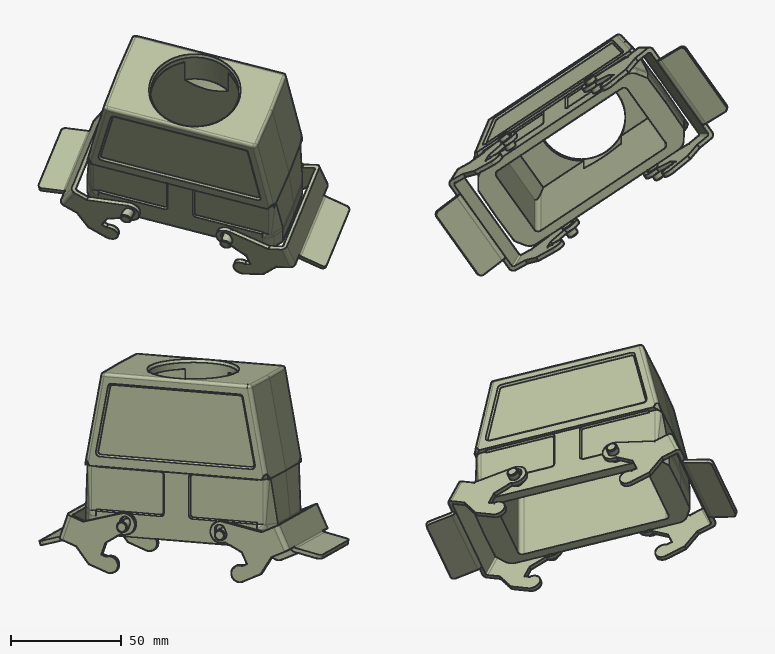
import cadquery as cq
import math


hood_height = 75.2
shoulder_z = 31.7
upper_half_width = 22.4
upper_half_length_top = 36.7
upper_half_length_bottom = 44.8
end_peak = 0.4
corner_fillet = 1.8
top_fillet = 1.5
shoulder_relief_x = 2.7
shoulder_relief_y = 4.4
shoulder_relief_height = 3.7
overcut = 0.01
corner_search = 3.0

panel_half_width = 20.4
lower_half_width = 21.2
lower_half_length_top = 44.8
lower_half_length_bottom = 46.8
band_height = 8.5
frame_half_length = 39.0

wall_start_x = 41.6
wall_top_shoulder = (44.2, 18.8)
wall_top_end_y = 17.8
wall_bottom_shoulder = (42.8, 20.0)
wall_bottom_end_y = 14.4
band_shoulder = (43.6, 18.8)

panel_bottom_z = 10.7
panel_inner_x = 6.0
panel_corner_radius = 1.8
panel_wall_taper = 40
window_bottom_z = 36.3
window_top_z = 70.6
window_half_length_bottom = 39.0
window_half_length_top = 32.5
window_depth = 1.0
window_corner_radius = 2.0

bore_diameter = 40.0
bore_rim_diameter = 41.6
bore_rim_depth = 1.4
bore_floor_z = 58.0
cavity_half_width = 17.1
cavity_roof_z = 70.8
cavity_break_z = 52.0
cavity_half_length_roof = 32.5
cavity_half_length = 36.0
cavity_corner_radius = 2.0

pin_diameter = 5.0
pin_x = 23.7
pin_z = 5.9
pin_tip_y = 28.6
pin_tip_chamfer = 0.4

lever_half_width = 25.65
lever_offset_y = 0.35
sheet = 2.0
sheet_bend_radius = 2.1
sheet_inner_radius = 0.8
slot_travel = 2.0
eye_radius = 5.0
arm_notch_x = 18.6
arm_top_z = -6.1
arm_bottom_z = -18.3
cross_plate_x = 27.2
arm_bottom_x = 18.0
hook_x = 0.2
hook_radius = 3.9
hook_back_x = 9.7
hook_bottom_z = -23.57
throat_x = 5.6
throat_bottom_z = -16.9
throat_top_z = -11.1
left_tilt = 25.3
right_tilt = 19.5

tab_half_width = 18.15
tab_bend_angle = 53.5
tab_bend_radius = 1.2
tab_bend_z = -18.0
tab_length = 12.54
tab_corner_radius = 2.0


def peaked_outline(half_length, half_width, peak, z):
    """Six-sided wire whose two ends bulge by `peak` at Y = 0."""
    corner_x = half_length - peak
    points = [
        (half_length, 0),
        (corner_x, half_width),
        (-corner_x, half_width),
        (-half_length, 0),
        (-corner_x, -half_width),
        (corner_x, -half_width),
    ]
    return cq.Workplane("XY", origin=(0, 0, z)).polyline(points).close().val()


def rounding_midpoint(start, shoulder):
    """Midpoint of the arc that leaves `start` along X and ends at `shoulder`."""
    run = shoulder[0] - start[0]
    drop = start[1] - shoulder[1]
    radius = (run**2 + drop**2) / (2 * drop)
    half_turn = math.atan2(drop, run)
    return (
        start[0] + radius * math.sin(half_turn),
        start[1] - radius * (1 - math.cos(half_turn)),
    )


def rounded_outline(half_length, start, shoulder, end_y, z):
    """Peaked wire with the corner plan start - shoulder - end_y, mirrored into all four corners."""
    end = (half_length - end_peak * end_y / start[1], end_y)
    middle = rounding_midpoint(start, shoulder)

    def at(point, x_sign, y_sign):
        return (x_sign * point[0], y_sign * point[1])

    outline = cq.Workplane("XY", origin=(0, 0, z)).moveTo(half_length, 0)
    for side in (1, -1):
        outline = (
            outline.lineTo(*at(end, side, side))
            .lineTo(*at(shoulder, side, side))
            .threePointArc(at(middle, side, side), at(start, side, side))
            .lineTo(*at(start, -side, side))
            .threePointArc(at(middle, -side, side), at(shoulder, -side, side))
            .lineTo(*at(end, -side, side))
            .lineTo(-side * half_length, 0)
        )
    return outline.close().val()


def ruled_loft(*wires):
    return cq.Workplane(cq.Solid.makeLoft(list(wires), True))


def tetrahedron(a, b, c, d):
    triangles = [(a, b, c), (a, b, d), (a, c, d), (b, c, d)]
    faces = [cq.Face.makeFromWires(cq.Wire.makePolygon(t, close=True)) for t in triangles]
    return cq.Workplane(cq.Solid.makeSolid(cq.Shell.makeShell(faces)))


def both_sides(cutter):
    """The shape on the -Y side together with its mirror image on the +Y side."""
    return cutter.union(cutter.mirror("XZ"))


def make_recess(outline, face_y, depth, corner_radius):
    """Cutter with rounded corners and sloping walls, sunk into the face at Y = -face_y."""
    sketch = cq.Sketch().polygon([*outline, outline[0]]).vertices().fillet(corner_radius)
    return (
        cq.Workplane("XZ", origin=(0, -face_y, 0))
        .placeSketch(sketch)
        .extrude(-depth, taper=panel_wall_taper)
    )


def upright_corner_box(end, side):
    """Selects the upright edge at one corner of the upper hood by the edge's centre."""
    x = end * (upper_half_length_top + upper_half_length_bottom) / 2
    y = side * upper_half_width
    z = (shoulder_z + hood_height) / 2
    reach = corner_search
    return cq.selectors.BoxSelector(
        (x - reach, y - reach, z - reach),
        (x + reach, y + reach, z + reach),
    )


def make_upper_hood():
    upper = ruled_loft(
        peaked_outline(upper_half_length_bottom, upper_half_width, end_peak, shoulder_z),
        peaked_outline(upper_half_length_top, upper_half_width, end_peak, hood_height),
    )
    for side in (-1, 1):
        for end in (-1, 1):
            upper = upper.edges(upright_corner_box(end, side)).fillet(corner_fillet)
    upper = upper.faces(">Z").edges().fillet(top_fillet)
    for end in (-1, 1):
        for side in (-1, 1):
            upper = upper.cut(make_shoulder_relief(end, side))
    return upper


def make_shoulder_relief(end, side):
    """Slanted cutter under one overhanging bottom corner of the upper hood."""
    corner_x = upper_half_length_bottom - end_peak
    taper = (upper_half_length_bottom - upper_half_length_top) / (hood_height - shoulder_z)
    tip_x = corner_x - taper * shoulder_relief_height
    outer_x = corner_x + overcut
    outer_y = upper_half_width + overcut
    base_z = shoulder_z - overcut
    tip_z = shoulder_z + shoulder_relief_height
    return tetrahedron(
        cq.Vector(end * outer_x, side * outer_y, base_z),
        cq.Vector(end * (corner_x - shoulder_relief_x), side * outer_y, base_z),
        cq.Vector(end * outer_x, side * (upper_half_width - shoulder_relief_y), base_z),
        cq.Vector(end * tip_x, side * upper_half_width, tip_z),
    )


def make_lower_hood():
    wall_start = (wall_start_x, panel_half_width)
    band_start = (frame_half_length, lower_half_width)
    wall_top = rounded_outline(
        lower_half_length_top, wall_start, wall_top_shoulder, wall_top_end_y, shoulder_z
    )
    wall_bottom = rounded_outline(
        lower_half_length_bottom, wall_start, wall_bottom_shoulder, wall_bottom_end_y, panel_bottom_z
    )
    band_top, band_bottom = [
        rounded_outline(lower_half_length_bottom, band_start, band_shoulder, wall_bottom_end_y, z)
        for z in (band_height, 0)
    ]
    frame = cq.Workplane("XY").box(
        2 * frame_half_length, 2 * lower_half_width, shoulder_z, centered=(True, True, False)
    )
    for end in (-1, 1):
        frame = frame.cut(both_sides(make_panel(end)))
    walls = ruled_loft(wall_bottom, wall_top)
    band = ruled_loft(band_bottom, band_top)
    ledge = ruled_loft(band_top, wall_bottom)
    return walls.union(ledge).union(band).union(frame)


def make_panel(end):
    """Shallow recess on the -Y side, from the middle strip out past the end of the frame."""
    outline = [
        (end * panel_inner_x, panel_bottom_z),
        (end * lower_half_length_bottom, panel_bottom_z),
        (end * lower_half_length_bottom, shoulder_z),
        (end * panel_inner_x, shoulder_z),
    ]
    depth = lower_half_width - panel_half_width
    return make_recess(outline, lower_half_width, depth, panel_corner_radius)


def make_window():
    """Recess of the large trapezoidal panel on the -Y side."""
    outline = [
        (-window_half_length_bottom, window_bottom_z),
        (window_half_length_bottom, window_bottom_z),
        (window_half_length_top, window_top_z),
        (-window_half_length_top, window_top_z),
    ]
    return make_recess(outline, upper_half_width, window_depth, window_corner_radius)


def make_cavity():
    """Contact chamber, open at the rim, with its end walls leaning in above the break."""
    cavity = (
        cq.Workplane("XZ", origin=(0, cavity_half_width, 0))
        .polyline(
            [
                (-cavity_half_length, 0),
                (cavity_half_length, 0),
                (cavity_half_length, cavity_break_z),
                (cavity_half_length_roof, cavity_roof_z),
                (-cavity_half_length_roof, cavity_roof_z),
                (-cavity_half_length, cavity_break_z),
            ]
        )
        .close()
        .extrude(2 * cavity_half_width)
    )
    return cavity.edges("|Z").fillet(cavity_corner_radius)


def make_bore():
    """Revolved cable entry: flared rim, cylinder, and a 45 degree conical floor."""
    bore_radius = bore_diameter / 2
    return (
        cq.Workplane("XZ")
        .polyline(
            [
                (0, hood_height),
                (bore_rim_diameter / 2, hood_height),
                (bore_radius, hood_height - bore_rim_depth),
                (bore_radius, bore_floor_z),
                (0, bore_floor_z - bore_radius),
            ]
        )
        .close()
        .revolve(360, (0, 0, 0), (0, 1, 0))
    )


def make_pin(x):
    """Pin on the -Y side, rooted halfway into the hood wall."""
    root_y = (cavity_half_width + lower_half_width) / 2
    return (
        cq.Workplane("XZ", origin=(x, -root_y, pin_z))
        .circle(pin_diameter / 2)
        .extrude(pin_tip_y - root_y)
        .faces("<Y")
        .chamfer(pin_tip_chamfer)
    )


def make_hood():
    hood = make_upper_hood().union(make_lower_hood())
    hood = hood.cut(both_sides(make_window())).cut(make_cavity()).cut(make_bore())
    for x in (-pin_x, pin_x):
        hood = hood.union(both_sides(make_pin(x)))
    return hood


def tangent_point(center, radius, outside):
    """Upper touching point of the tangent from the point `outside` to a circle on its left."""
    dx = outside[0] - center[0]
    dz = outside[1] - center[1]
    angle = math.atan2(dz, dx) + math.acos(radius / math.hypot(dx, dz))
    return (center[0] + radius * math.cos(angle), center[1] + radius * math.sin(angle))


def make_side_outline():
    """Both side plates and the cross plate as one block with the side plate's outline."""
    eye = (0, slot_travel / 2)
    notch = (arm_notch_x, arm_top_z)
    eye_top = tangent_point(eye, eye_radius, notch)
    hook_z = hook_bottom_z + hook_radius
    throat_rise = throat_bottom_z - hook_z
    hook_mouth = (hook_x + math.sqrt(hook_radius**2 - throat_rise**2), throat_bottom_z)
    return (
        cq.Workplane("XZ", origin=(0, lever_half_width, 0))
        .moveTo(*eye_top)
        .lineTo(*notch)
        .lineTo(cross_plate_x, arm_top_z)
        .lineTo(cross_plate_x, arm_bottom_z)
        .lineTo(arm_bottom_x, arm_bottom_z)
        .lineTo(hook_back_x, hook_bottom_z)
        .lineTo(hook_x, hook_bottom_z)
        .threePointArc((hook_x - hook_radius, hook_z), hook_mouth)
        .lineTo(throat_x, throat_bottom_z)
        .lineTo(throat_x, throat_top_z)
        .lineTo(eye[0], eye[1] - eye_radius)
        .threePointArc((eye[0] - eye_radius, eye[1]), eye_top)
        .close()
        .extrude(2 * lever_half_width)
    )


def make_channel_space():
    """Material removed between the side plates to leave sheet-thick walls."""
    inner_x = cross_plate_x - sheet
    reach = 2 * cross_plate_x
    return (
        cq.Workplane("XY")
        .box(reach, 2 * (lever_half_width - sheet), 2 * reach)
        .translate((inner_x - reach / 2, 0, 0))
        .edges("|Z and >X")
        .fillet(sheet_inner_radius)
    )


def make_tab():
    """Finger tab bent outwards from the lower edge of the cross plate."""
    bend_center = (cross_plate_x + tab_bend_radius, tab_bend_z)
    bend = math.radians(tab_bend_angle)
    along = (math.sin(bend), -math.cos(bend))
    upper_radius = tab_bend_radius
    lower_radius = tab_bend_radius + sheet

    def on_bend(radius, angle):
        return (
            bend_center[0] - radius * math.cos(angle),
            bend_center[1] - radius * math.sin(angle),
        )

    def tab_end(radius):
        start = on_bend(radius, bend)
        return (start[0] + tab_length * along[0], start[1] + tab_length * along[1])

    tab = (
        cq.Workplane("XZ", origin=(0, tab_half_width, 0))
        .moveTo(*on_bend(upper_radius, 0))
        .threePointArc(on_bend(upper_radius, bend / 2), on_bend(upper_radius, bend))
        .lineTo(*tab_end(upper_radius))
        .lineTo(*tab_end(lower_radius))
        .lineTo(*on_bend(lower_radius, bend))
        .threePointArc(on_bend(lower_radius, bend / 2), on_bend(lower_radius, 0))
        .close()
        .extrude(2 * tab_half_width)
    )
    end_direction = cq.Vector(along[0], 0, along[1])
    end_face = cq.selectors.DirectionMinMaxSelector(end_direction)
    return tab.faces(end_face).edges("not |Y").fillet(tab_corner_radius)


def make_lever(tilt):
    """Lever on the +X side, turned about its pin so that the cross plate leans by `tilt`."""
    block = make_side_outline()
    block = block.edges("|Z and >X").fillet(sheet_bend_radius)
    lever = block.cut(make_channel_space()).union(make_tab())
    slot = (
        cq.Workplane("XZ", origin=(0, lever_half_width, slot_travel / 2))
        .slot2D(slot_travel + pin_diameter, pin_diameter, 90)
        .extrude(2 * lever_half_width)
    )
    lever = lever.cut(slot)
    lever = lever.rotate((0, 0, 0), (0, 1, 0), -tilt)
    return lever.translate((pin_x, lever_offset_y, pin_z))


hood = make_hood()
right_lever = make_lever(right_tilt)
left_lever = make_lever(left_tilt).mirror("YZ")

bodies = [hood, left_lever, right_lever]
result = cq.Compound.makeCompound([body.solids().val() for body in bodies])